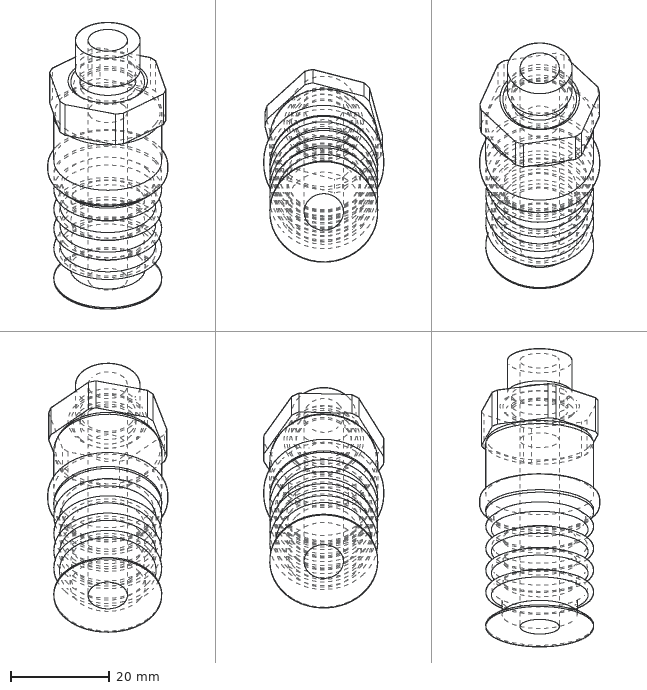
import cadquery as cq
import math

total_height = 58.4
hex_bottom = 40.95
bore_radius = 4.0

hex_height = 7.5
hex_top = hex_bottom + hex_height
hex_across_flats = 22.0
hex_corner_radius = 12.25
hex_turn = 30
nipple_radius = 6.6
nipple_length = 7.1
neck_radius = 5.7
neck_chamfer_height = 0.45
nipple_bottom = total_height - nipple_length

ring_section_radius = 0.9
ring_center_radius = neck_radius + ring_section_radius
ring_sink = 0.2
ring_center_z = hex_top - ring_sink
seat_top_radius = 8.08
seat_bottom = ring_center_z - ring_section_radius
seat_bottom_radius = seat_top_radius - (hex_top - seat_bottom)

head_radius = 11.0
head_chamfer_height = 0.8
head_chamfer_width = 0.3
bead_top = 29.05
bead_radius = 12.25
bead_round = bead_radius - head_radius
bead_flat = 0.9
bead_bottom = bead_top - 2 * bead_round - bead_flat
collar_bottom = 25.1

fold_count = 4
fold_pitch = 4.8
first_fold_z = 22.0
fold_radius = 11.0
rim_round = 0.65
rim_center_radius = fold_radius - rim_round
upper_flank_radius = 9.7
lower_flank_radius = 9.85
valley_radius = 7.5
valley_offset = 2.6
valley_height = 0.4
top_valley_radius = 9.4
top_valley_z = 23.8
valley_fillet_width = 0.22
valley_fillet_height = 0.4
first_fold_contact = math.radians(55)

foot_radius = 7.65
foot_top = 5.6
foot_bottom = 2.7
lip_radius = 11.0
lip_thickness = 0.35


def make_fitting():
    hexagon = (
        cq.Workplane("XY", origin=(0, 0, hex_bottom))
        .polygon(6, hex_across_flats, circumscribed=True)
        .extrude(hex_height)
        .rotate((0, 0, 0), (0, 0, 1), hex_turn)
    )
    corner_limit = cq.Workplane("XY", origin=(0, 0, hex_bottom)).circle(hex_corner_radius).extrude(hex_height)
    seat = (
        cq.Workplane("XZ")
        .moveTo(0, seat_bottom)
        .lineTo(seat_bottom_radius, seat_bottom)
        .lineTo(seat_top_radius, hex_top)
        .lineTo(0, hex_top)
        .close()
        .revolve(360, (0, 0), (0, 1))
    )
    nipple = (
        cq.Workplane("XZ")
        .moveTo(0, seat_bottom)
        .lineTo(neck_radius, seat_bottom)
        .lineTo(neck_radius, nipple_bottom - neck_chamfer_height)
        .lineTo(nipple_radius, nipple_bottom)
        .lineTo(nipple_radius, total_height)
        .lineTo(0, total_height)
        .close()
        .revolve(360, (0, 0), (0, 1))
    )
    bore = cq.Workplane("XY").circle(bore_radius).extrude(total_height)
    return hexagon.intersect(corner_limit).cut(seat).union(nipple).cut(bore)


def make_o_ring():
    return (
        cq.Workplane("XZ")
        .center(ring_center_radius, ring_center_z)
        .circle(ring_section_radius)
        .revolve(360, (-ring_center_radius, 0), (-ring_center_radius, 1))
    )


def add_valley_fillet(profile, radius, level):
    """Flank running down, then a concave arc tangent to it that ends at the given radius and level."""
    return (
        profile.lineTo(radius + valley_fillet_width, level + valley_fillet_height)
        .tangentArcPoint((radius, level), relative=False)
    )


def add_head(profile):
    """Outline of the head from its top face down to the first valley."""
    bead_arc_side = bead_round * math.sqrt(0.5)
    bead_arc_r = head_radius + bead_arc_side
    profile = (
        profile.lineTo(head_radius - head_chamfer_width, hex_bottom)
        .lineTo(head_radius, hex_bottom - head_chamfer_height)
        .lineTo(head_radius, bead_top)
        .threePointArc(
            (bead_arc_r, bead_top - bead_round + bead_arc_side),
            (bead_radius, bead_top - bead_round),
        )
        .lineTo(bead_radius, bead_bottom + bead_round)
        .threePointArc(
            (bead_arc_r, bead_bottom + bead_round - bead_arc_side),
            (head_radius, bead_bottom),
        )
        .lineTo(head_radius, collar_bottom)
    )
    profile = add_valley_fillet(profile, top_valley_radius, top_valley_z + valley_height / 2)
    return profile.lineTo(top_valley_radius, top_valley_z - valley_height / 2)


def add_fold(profile, middle, is_first):
    """Outline of one fold, from the valley above it to the outer end of its lower flank."""
    if is_first:
        profile = profile.lineTo(
            rim_center_radius + rim_round * math.cos(first_fold_contact),
            middle + rim_round * math.sin(first_fold_contact),
        )
    else:
        profile = (
            profile.lineTo(upper_flank_radius, middle + rim_round)
            .lineTo(rim_center_radius, middle + rim_round)
        )
    return (
        profile.threePointArc((fold_radius, middle), (rim_center_radius, middle - rim_round))
        .lineTo(lower_flank_radius, middle - rim_round)
    )


def add_valley(profile, middle):
    """Outline of the valley below a fold."""
    profile = add_valley_fillet(profile, valley_radius, middle + valley_height / 2)
    return profile.lineTo(valley_radius, middle - valley_height / 2)


def make_bellows():
    profile = add_head(cq.Workplane("XZ").moveTo(bore_radius, hex_bottom))
    for i in range(fold_count):
        middle = first_fold_z - i * fold_pitch
        profile = add_fold(profile, middle, i == 0)
        if i < fold_count - 1:
            profile = add_valley(profile, middle - valley_offset)
    profile = add_valley_fillet(profile, foot_radius, foot_top)
    return (
        profile.lineTo(foot_radius, foot_bottom)
        .lineTo(lip_radius, lip_thickness)
        .lineTo(lip_radius, 0)
        .lineTo(bore_radius, 0)
        .close()
        .revolve(360, (0, 0), (0, 1))
    )


fitting = make_fitting()
o_ring = make_o_ring()
bellows = make_bellows()

result = cq.Compound.makeCompound([fitting.val(), o_ring.val(), bellows.val()])